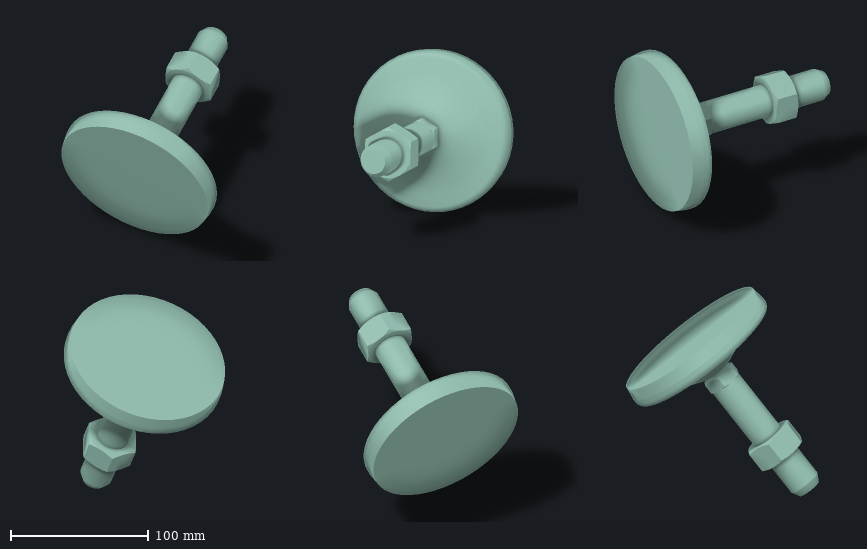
import cadquery as cq
import math

total_height = 142.5

foot_radius = 60.0
sole_radius = 58.5
rim_bottom = 9.1
rim_top = 12.3
rim_round = 5.1
rim_round_sweep = math.radians(84)
shoulder_radius = 15.1
shoulder_height = 29.5
crown_radius = 7.1
crown_height = 32.0

neck_radius = 5.0
stud_radius = 12.0
tip_radius = 8.8
tip_length = 5.8

collar_flats = 2 * stud_radius
collar_bottom = 33.0
collar_top = 42.5
nut_flats = 35.2
nut_bottom = 92.6
nut_top = 110.9
hex_chamfer_angle = math.radians(30)


def revolve_about_axis(profile):
    """Turn a closed (radius, height) profile about the Y axis."""
    return profile.close().revolve(360, (0, 0, 0), (0, 1, 0))


def make_foot():
    """Sole, tapered rim and concave flank, each arc running smoothly into the next."""
    round_center = foot_radius - rim_round

    def rim_point(angle):
        return (
            round_center + rim_round * math.cos(angle),
            rim_top + rim_round * math.sin(angle),
        )

    profile = (
        cq.Workplane("XY")
        .lineTo(sole_radius, 0)
        .lineTo(foot_radius, rim_bottom)
        .lineTo(foot_radius, rim_top)
        .threePointArc(rim_point(rim_round_sweep / 2), rim_point(rim_round_sweep))
        .tangentArcPoint((shoulder_radius, shoulder_height), relative=False)
        .tangentArcPoint((crown_radius, crown_height), relative=False)
        .lineTo(0, crown_height)
    )
    return revolve_about_axis(profile)


def make_spindle():
    """Neck rising from inside the foot, then the stud with its tapered tip."""
    profile = (
        cq.Workplane("XY")
        .moveTo(0, shoulder_height)
        .lineTo(neck_radius, shoulder_height)
        .lineTo(neck_radius, collar_top)
        .lineTo(stud_radius, collar_top)
        .lineTo(stud_radius, total_height - tip_length)
        .lineTo(tip_radius, total_height)
        .lineTo(0, total_height)
    )
    return revolve_about_axis(profile)


def make_hex(flats, bottom, top):
    """Hexagon with flats facing +X and -X and its corners chamfered at both ends."""
    corner_radius = flats / math.sqrt(3)
    face_radius = flats / 2
    chamfer_height = (corner_radius - face_radius) * math.tan(hex_chamfer_angle)
    prism = (
        cq.Workplane("XZ", origin=(0, bottom, 0))
        .transformed(rotate=(0, 0, 90))
        .polygon(6, 2 * corner_radius)
        .extrude(bottom - top)
    )
    envelope = (
        cq.Workplane("XY")
        .moveTo(0, bottom)
        .lineTo(face_radius, bottom)
        .lineTo(corner_radius, bottom + chamfer_height)
        .lineTo(corner_radius, top - chamfer_height)
        .lineTo(face_radius, top)
        .lineTo(0, top)
    )
    return prism.intersect(revolve_about_axis(envelope))


collar = make_hex(collar_flats, collar_bottom, collar_top)
nut = make_hex(nut_flats, nut_bottom, nut_top)
part = make_foot().union(make_spindle()).union(collar).union(nut)

result = part.translate((0, -total_height / 2, 0))